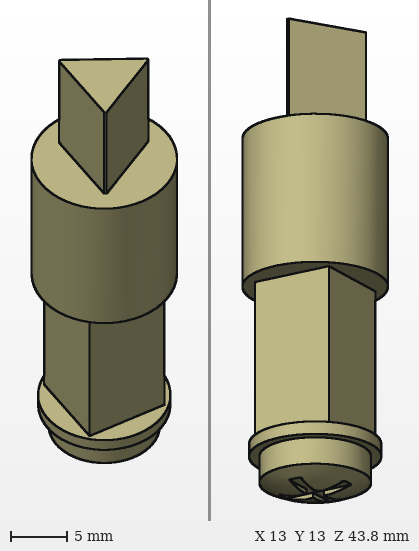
import cadquery as cq
import math

KEY_HEIGHT = 10.0
KEY_RADIUS = 4.73
KEY_CORNER_CUT = 0.2
BARREL_HEIGHT = 14.05
BARREL_DIAMETER = 13.0
SHANK_HEIGHT = 14.93
SHANK_WIDTH = 7.8
WASHER_DIAMETER = 11.8
WASHER_THICKNESS = 1.2
HEAD_DIAMETER = 10.0
HEAD_RIM_HEIGHT = 2.5
DOME_HEIGHT = 1.15
CROWN_DIAMETER = 2.8
SLOT_WIDTH = 1.15
SLOT_DEPTH = 0.5

BARREL_BOTTOM = SHANK_HEIGHT
BARREL_TOP = BARREL_BOTTOM + BARREL_HEIGHT
HEAD_TOP = -WASHER_THICKNESS
RIM_BOTTOM = HEAD_TOP - HEAD_RIM_HEIGHT
CROWN_LEVEL = RIM_BOTTOM - DOME_HEIGHT


def plane_at(level):
    """Horizontal workplane at the given height."""
    return cq.Workplane("XY").workplane(offset=level)


def make_key():
    """Triangular prism with one corner towards +Y and its sharp corners trimmed flat."""
    prism = plane_at(BARREL_TOP).polygon(3, 2 * KEY_RADIUS).extrude(KEY_HEIGHT)
    prism = prism.rotate((0, 0, 0), (0, 0, 1), 90)
    return prism.edges("|Z").chamfer(KEY_CORNER_CUT)


def make_spindle():
    """Square shank, round barrel and triangular key in one piece."""
    shank = plane_at(0).rect(SHANK_WIDTH, SHANK_WIDTH).extrude(SHANK_HEIGHT)
    barrel = plane_at(BARREL_BOTTOM).circle(BARREL_DIAMETER / 2).extrude(BARREL_HEIGHT)
    return shank.union(barrel).union(make_key())


def make_washer():
    """Plain disc under the end of the shank."""
    return plane_at(HEAD_TOP).circle(WASHER_DIAMETER / 2).extrude(WASHER_THICKNESS)


def dome_arc_middle(rim_radius, crown_radius):
    """Radius and level of a point halfway along the dome's arc, whose centre lies on the axis."""
    rim_below_center = (rim_radius**2 - crown_radius**2 - DOME_HEIGHT**2) / (2 * DOME_HEIGHT)
    sphere_radius = math.hypot(rim_radius, rim_below_center)
    rim_angle = math.asin(rim_radius / sphere_radius)
    crown_angle = math.asin(crown_radius / sphere_radius)
    middle_angle = (rim_angle + crown_angle) / 2
    center_level = RIM_BOTTOM + rim_below_center
    return (
        sphere_radius * math.sin(middle_angle),
        center_level - sphere_radius * math.cos(middle_angle),
    )


def make_screw_head():
    """Round head with a domed underside and a cross slot through the dome."""
    rim_radius = HEAD_DIAMETER / 2
    crown_radius = CROWN_DIAMETER / 2
    head = (
        cq.Workplane("XZ")
        .moveTo(0, HEAD_TOP)
        .lineTo(rim_radius, HEAD_TOP)
        .lineTo(rim_radius, RIM_BOTTOM)
        .threePointArc(dome_arc_middle(rim_radius, crown_radius), (crown_radius, CROWN_LEVEL))
        .lineTo(0, CROWN_LEVEL)
        .close()
        .revolve(360, (0, 0, 0), (0, 1, 0))
    )
    for length_x, length_y in ((HEAD_DIAMETER, SLOT_WIDTH), (SLOT_WIDTH, HEAD_DIAMETER)):
        head = head.cut(plane_at(CROWN_LEVEL).rect(length_x, length_y).extrude(SLOT_DEPTH))
    return head


spindle = make_spindle()
washer = make_washer()
screw_head = make_screw_head()

result = cq.Compound.makeCompound([spindle.val(), washer.val(), screw_head.val()])